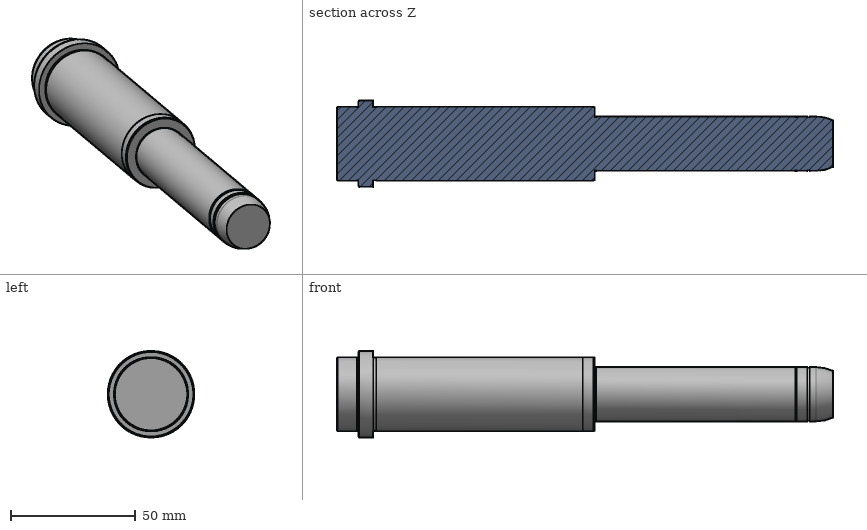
import cadquery as cq

length = 200.0
collar_start = 8.6
collar_width = 6.0
body_end = 104.0
lead_length = 5.0
ring_groove_start = 189.5
tip_start = 193.0

body_dia = 30.0
lead_dia = 29.9
collar_dia = 35.0
pin_dia = 22.0
tip_dia = 18.8

collar_chamfer = 0.5
lead_chamfer_length = 0.6
lead_chamfer_depth = 0.3
head_chamfer = 0.45
head_relief_width = 0.6
body_relief_width = 1.2
relief_depth = 0.15
shoulder_relief_width = 0.5
pin_groove_start = 184.7
pin_groove_width = 0.6
ring_groove_width = 1.0
pin_groove_depth = 0.25

collar_end = collar_start + collar_width
lead_start = body_end - lead_length
pin_radius = pin_dia / 2
tip_radius = tip_dia / 2


def cylinder(start, end, diameter):
    """Solid cylinder on the X axis between two stations."""
    return cq.Workplane("YZ").workplane(offset=start).circle(diameter / 2).extrude(end - start)


def groove(start, width, diameter, depth):
    """Ring of material to remove from a shaft of the given diameter."""
    bottom_dia = diameter - 2 * depth
    return cylinder(start, start + width, diameter).cut(cylinder(start, start + width, bottom_dia))


def make_body():
    """Stepped body: head and main diameter, then a slightly smaller lead at the pin end."""
    main = cylinder(0, lead_start, body_dia)
    main = main.faces("<X").chamfer(head_chamfer)
    lead = cylinder(lead_start, body_end, lead_dia)
    lead = lead.faces(">X").chamfer(lead_chamfer_length, lead_chamfer_depth)
    body = main.union(lead)
    body = body.cut(groove(collar_start - head_relief_width, head_relief_width, body_dia, relief_depth))
    return body.cut(groove(collar_end, body_relief_width, body_dia, relief_depth))


def make_collar():
    """Locating collar, chamfered on the rim facing the head end."""
    return cylinder(collar_start, collar_end, collar_dia).faces("<X").chamfer(collar_chamfer)


def make_pin():
    """Guide pin with three shallow grooves and a rounded, tapering tip."""
    pin = (
        cq.Workplane("XY")
        .moveTo(body_end, 0)
        .lineTo(body_end, pin_radius)
        .lineTo(tip_start, pin_radius)
        .tangentArcPoint((length, tip_radius), relative=False)
        .lineTo(length, 0)
        .close()
        .revolve(360, (0, 0, 0), (1, 0, 0))
    )
    groove_places = [
        (body_end, shoulder_relief_width),
        (pin_groove_start, pin_groove_width),
        (ring_groove_start, ring_groove_width),
    ]
    for start, width in groove_places:
        pin = pin.cut(groove(start, width, pin_dia, pin_groove_depth))
    return pin


result = make_body().union(make_collar()).union(make_pin())